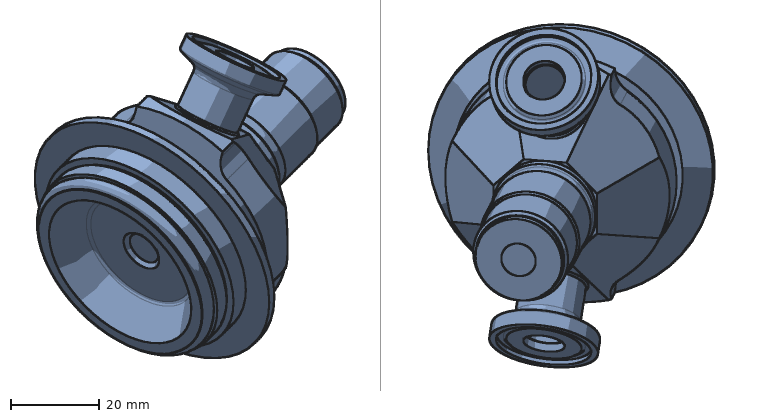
import cadquery as cq
import math


lip_dia = 45.9
seal_front = 0.3
seal_back = 3.25
seat_ring_dia = 49.9
seat_ring_back = 6.8
relief_dia = 49.2
pilot_front = 7.5
pilot_dia = 52.8
flange_dia = 66.0
flange_front = 12.25
flange_rim_back = 14.25
flange_back_dia = 53.2
flange_back = 17.1
cup_mouth_dia = 40.0
cup_floor_dia = 29.7
cup_depth = 8.2
cup_fillet = 1.1

seal_dia = 49.0
seal_groove_dia = 43.3
seal_edge_dia = 48.0

collar_dia = 48.0
collar_back = 20.1
shoulder_dia = 60.2
shoulder_front = 22.9
shoulder_waist_dia = 52.0
lug_width = 24.2
lug_fillet = 5.8
taper_sides = 8
taper_angle = 45
taper_end = 42.9

neck_dia = 24.0
neck_back = 44.9
neck_groove_dia = 21.5
neck_groove_back = 47.8
stem_dia = 23.0
stem_back = 60.7
stem_edge_chamfer = 0.5
stem_end_dia = 22.0
stem_end_back = 71.3
stem_end_chamfer = 0.75
tip_dia = 20.0
body_length = 73.0

seat_dia = 10.0
plug_dia = 8.0
seat_depth = (seat_dia - plug_dia) / 2
plug_front = cup_depth + seat_depth

port_angle = 45
port_dia = 25.0
port_rim = 3.7
port_rim_fillet = 0.5
port_cone_angle = 22
port_neck_dia = 15.0
port_neck_fillet = 2.0
port_bead = 0.5
port_bore_dia = 9.0
port_bore_depth = 43.3
port_mouth_dia = 9.5
port_mouth_depth = 2.6
port_face_recess = 0.6
port_groove_outer_dia = 21.8
port_groove_floor_dia = 18.8
port_groove_inner_dia = 17.3
port_groove_wall = 1.2
port_groove_depth = 1.6
port_axis_y = 11.8
overall_height = 83.3
port_mouth_z = overall_height / 2 - port_dia / 2 * math.cos(math.radians(port_angle))
port_length = port_mouth_z / math.sin(math.radians(port_angle))
taper_face_distance = (taper_end + neck_dia / 2 - port_axis_y) * math.sin(math.radians(port_angle))


def revolve_y(outline):
    """Turn a closed outline in the XY plane about the Y axis."""
    return outline.close().revolve(360, (0, 0, 0), (0, 1, 0))


def cylinder_y(diameter, start, end):
    return cq.Workplane("XZ", origin=(0, start, 0)).circle(diameter / 2).extrude(start - end)


def make_front():
    """Flange, pilot, seat ring and collar."""
    outline = (
        cq.Workplane("XY")
        .moveTo(0, 0)
        .lineTo(lip_dia / 2, 0)
        .lineTo(lip_dia / 2, seal_back)
        .lineTo(seat_ring_dia / 2, seal_back)
        .lineTo(seat_ring_dia / 2, seat_ring_back)
        .lineTo(relief_dia / 2, seat_ring_back)
        .lineTo(relief_dia / 2, pilot_front)
        .lineTo(pilot_dia / 2, pilot_front)
        .lineTo(pilot_dia / 2, flange_front)
        .lineTo(flange_dia / 2, flange_front)
        .lineTo(flange_dia / 2, flange_rim_back)
        .lineTo(flange_back_dia / 2, flange_back)
        .lineTo(collar_dia / 2, flange_back)
        .lineTo(collar_dia / 2, collar_back)
        .lineTo(0, collar_back)
    )
    return revolve_y(outline)


def make_shoulder():
    """Round shoulder, cut back beside two lugs and tapered by eight flat faces."""
    blank = revolve_y(
        cq.Workplane("XY")
        .moveTo(0, collar_back)
        .lineTo(collar_dia / 2, collar_back)
        .lineTo(shoulder_dia / 2, shoulder_front)
        .lineTo(shoulder_dia / 2, taper_end)
        .lineTo(0, taper_end)
    )
    waist = cylinder_y(shoulder_waist_dia, collar_back, taper_end)
    lug_bar = cq.Workplane("XY").box(lug_width, taper_end - collar_back, shoulder_dia + lug_fillet)
    lug_bar = lug_bar.translate((0, (taper_end + collar_back) / 2, 0))
    lug_z = math.sqrt(shoulder_waist_dia ** 2 - lug_width ** 2) / 2
    corner_margin = 0.8
    inner_corners = cq.selectors.BoxSelector(
        (-lug_width, collar_back, -lug_z - corner_margin), (lug_width, taper_end, lug_z + corner_margin)
    )
    envelope = waist.union(lug_bar).edges("|Y").edges(inner_corners).fillet(lug_fillet)

    across_flats = neck_dia + 2 * (taper_end - collar_back) * math.tan(math.radians(taper_angle))
    taper = (
        cq.Workplane("XZ", origin=(0, collar_back, 0))
        .polygon(taper_sides, across_flats, circumscribed=True)
        .extrude(collar_back - taper_end, taper=taper_angle)
    )
    return blank.intersect(envelope).intersect(taper)


def make_stem():
    outline = (
        cq.Workplane("XY")
        .moveTo(0, taper_end)
        .lineTo(neck_dia / 2, taper_end)
        .lineTo(neck_dia / 2, neck_back)
        .lineTo(stem_dia / 2, neck_back + (neck_dia - stem_dia) / 2)
        .threePointArc(
            (neck_groove_dia / 2, (neck_back + neck_groove_back) / 2), (stem_dia / 2, neck_groove_back)
        )
        .lineTo(stem_dia / 2, stem_back - stem_edge_chamfer)
        .lineTo(stem_end_dia / 2, stem_back)
        .lineTo(stem_end_dia / 2, stem_end_back - stem_end_chamfer)
        .lineTo(stem_end_dia / 2 - stem_end_chamfer, stem_end_back)
        .lineTo(tip_dia / 2, stem_end_back)
        .lineTo(tip_dia / 2, body_length)
        .lineTo(0, body_length)
    )
    return revolve_y(outline)


def make_cup():
    """Cutter for the conical cup and the valve seat behind it."""
    cup = revolve_y(
        cq.Workplane("XY")
        .moveTo(0, 0)
        .lineTo(cup_mouth_dia / 2, 0)
        .lineTo(cup_floor_dia / 2, cup_depth)
        .lineTo(0, cup_depth)
    )
    cup = cup.faces(">Y").edges().fillet(cup_fillet)
    seat = revolve_y(
        cq.Workplane("XY")
        .moveTo(0, cup_depth)
        .lineTo(seat_dia / 2, cup_depth)
        .lineTo(plug_dia / 2, plug_front)
        .lineTo(0, plug_front)
    )
    return cup.union(seat)


def place_port(shape, side):
    """Stand a port, modelled along Y from the main axis outwards, above or below the axis."""
    return shape.rotate((0, 0, 0), (1, 0, 0), side * port_angle).translate((0, port_axis_y, 0))


def make_port():
    """Clamp port with a groove around a recessed mouth face, and a small bead at the taper."""
    cone_height = (port_dia - port_neck_dia) / 2 * math.tan(math.radians(port_cone_angle))
    rim_back = port_length - port_rim
    cone_back = rim_back - cone_height
    port = revolve_y(
        cq.Workplane("XY")
        .moveTo(0, taper_face_distance)
        .lineTo(port_neck_dia / 2 + port_bead, taper_face_distance)
        .lineTo(port_neck_dia / 2, taper_face_distance + port_bead)
        .lineTo(port_neck_dia / 2, cone_back)
        .lineTo(port_dia / 2, rim_back)
        .lineTo(port_dia / 2, port_length)
        .lineTo(0, port_length)
    )
    neck_corner = cq.selectors.BoxSelector(
        (-port_neck_dia, cone_back - port_bead, -port_neck_dia),
        (port_neck_dia, cone_back + port_bead, port_neck_dia),
    )
    rim_corner = cq.selectors.BoxSelector(
        (-port_dia, rim_back - port_bead, -port_dia), (port_dia, rim_back + port_bead, port_dia)
    )
    port = port.edges("%CIRCLE").edges(neck_corner).fillet(port_neck_fillet)
    port = port.edges("%CIRCLE").edges(rim_corner).fillet(port_rim_fillet)
    wall_end = port_length - port_groove_wall
    recessed_face = port_length - port_face_recess
    groove = revolve_y(
        cq.Workplane("XY")
        .moveTo(0, port_length)
        .lineTo(0, recessed_face)
        .lineTo(port_groove_inner_dia / 2, recessed_face)
        .lineTo(port_groove_floor_dia / 2, wall_end)
        .threePointArc(
            ((port_groove_floor_dia + port_groove_outer_dia) / 4, port_length - port_groove_depth),
            (port_groove_outer_dia / 2, wall_end),
        )
        .lineTo(port_groove_outer_dia / 2, port_length)
    )
    return port.cut(groove)


def make_port_bore():
    """Cutter for the port passage, reaching into the plug bore."""
    passage = cylinder_y(port_bore_dia, port_length - port_bore_depth, port_length)
    mouth = cylinder_y(port_mouth_dia, port_length - port_mouth_depth, port_length)
    return passage.union(mouth)


def make_seal_groove():
    groove_outer = cylinder_y(lip_dia, seal_front, seal_back)
    return groove_outer.cut(cylinder_y(seal_groove_dia, seal_front, seal_back))


def make_housing():
    housing = make_front().union(make_shoulder()).union(make_stem())
    for side in (1, -1):
        housing = housing.union(place_port(make_port(), side))
    for side in (1, -1):
        housing = housing.cut(place_port(make_port_bore(), side))
    housing = housing.cut(make_cup()).cut(make_seal_groove())
    return housing.cut(cylinder_y(plug_dia, cup_depth, body_length)).solids()


def make_seal_ring():
    """Ring with a rounded outer side, held in the groove behind the lip."""
    outline = (
        cq.Workplane("XY")
        .moveTo(seal_groove_dia / 2, seal_front)
        .lineTo(lip_dia / 2, seal_front)
        .threePointArc((seal_dia / 2, (seal_front + seal_back) / 2), (seal_edge_dia / 2, seal_back))
        .lineTo(seal_groove_dia / 2, seal_back)
    )
    return revolve_y(outline)


def make_plug():
    """Round plug that closes the valve seat and fills the bore of the stem."""
    return cylinder_y(plug_dia, plug_front, body_length)


housing = make_housing()
seal_ring = make_seal_ring()
plug = make_plug()

result = cq.Compound.makeCompound([housing.val(), seal_ring.val(), plug.val()])